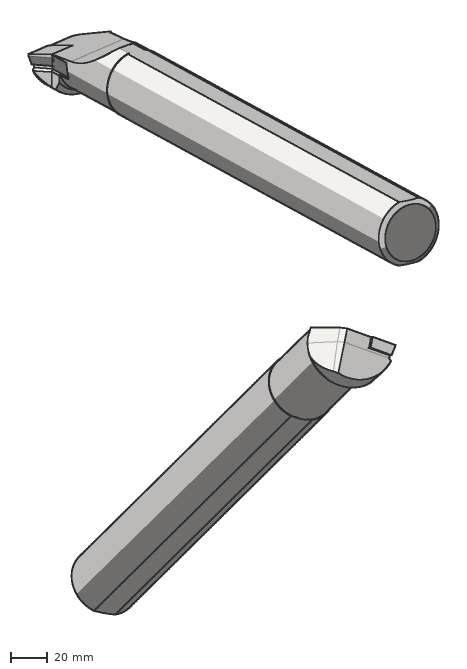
import cadquery as cq
import math

length = 350.0
shank_radius = 20.0
flat_height = 19.0
neck_radius = 19.5
neck_end = 70.0
end_chamfer = 3.0
end_chamfer_depth = 1.8

head_radius = 23.5
head_y = -3.32
head_z = 0.7
head_end = 19.2
head_chamfer = 4.0

head_tilt = 10.4
rake_start = 5.5
rake_slope = 0.08
rake_length = 31.5
scoop_radius = 51.8
scoop_sweep = 50.0
tool_reach = 70.0
lead_in = 3.5

relief_depth = 8.8
relief_angle = 9.0
nose_x = 1.0
corner_x = 3.0
corner_y = 6.5
nose_angle = 180.0
facet_angle = 150.0
corner_angle = 135.0

insert_width = 13.0
insert_tip_y = -26.2
insert_heel_y = -12.2
insert_thickness = 7.0
insert_band = 1.0
insert_slope = 0.6
seat_inset = 1.0
seat_tip_y = -25.5
side_flat_y = -18.5
side_flat_end = 27.5
side_flat_floor = -5.5
side_flat_bevel = 2.5
side_flat_runout = 2.5


def tilted(body):
    """Turn a body from the head's frame into the part's frame."""
    return body.rotate((0, 0, 0), (1, 0, 0), head_tilt)


def prism(points, bottom, top):
    return cq.Workplane("XY").workplane(offset=bottom).polyline(points).close().extrude(top - bottom)


def cylinder(radius, start, end):
    return cq.Workplane("YZ").workplane(offset=start).circle(radius).extrude(end - start)


def make_shank():
    shank = cylinder(shank_radius, neck_end, length)
    shank = shank.faces(">X").chamfer(end_chamfer_depth, end_chamfer)
    flats = cq.Workplane("XY").box(2 * length, tool_reach, 2 * flat_height)
    return shank.intersect(flats)


def make_neck():
    neck = cylinder(neck_radius, 0, neck_end)
    below_flat = cq.Workplane("XY").box(2 * length, tool_reach, tool_reach).translate(
        (0, 0, flat_height - tool_reach / 2))
    return neck.intersect(below_flat)


def make_swelling():
    """Short eccentric disc with an upright slanted front below the insert."""
    swelling = cylinder(head_radius, 0, head_end).faces(">X").chamfer(head_chamfer)
    swelling = swelling.translate((0, head_y, head_z))
    flat_start = (side_flat_y - seat_tip_y) / insert_slope
    front = prism(
        [(-lead_in, seat_tip_y - insert_slope * lead_in), (flat_start, side_flat_y),
         (tool_reach, side_flat_y), (tool_reach, -tool_reach), (-lead_in, -tool_reach)],
        -tool_reach, tool_reach)
    return swelling.cut(front)


def scoop_cutter():
    """Rake face running into a tangent arc that climbs out of the neck."""
    start_angle = math.atan(rake_slope)
    rake_end_z = rake_start + rake_slope * rake_length

    def arc_point(angle):
        return (rake_length + scoop_radius * (math.sin(angle) - math.sin(start_angle)),
                rake_end_z + scoop_radius * (math.cos(start_angle) - math.cos(angle)))

    sweep = math.radians(scoop_sweep)
    end = arc_point(start_angle + sweep)
    cutter = (
        cq.Workplane("XZ")
        .moveTo(-lead_in, rake_start - rake_slope * lead_in)
        .lineTo(rake_length, rake_end_z)
        .threePointArc(arc_point(start_angle + sweep / 2), end)
        .lineTo(end[0], tool_reach)
        .lineTo(-lead_in, tool_reach)
        .close()
        .extrude(tool_reach, both=True)
    )
    return tilted(cutter)


def relief_cutter(x, y, outward_angle, depth=relief_depth):
    """Removes all material outside a face that is straight, then falls inward."""
    band_bottom = rake_start - depth
    undercut = (tool_reach + band_bottom) * math.tan(math.radians(relief_angle))
    cutter = (
        cq.Workplane("XZ")
        .polyline([(0, tool_reach), (0, band_bottom), (-undercut, -tool_reach),
                   (tool_reach, -tool_reach), (tool_reach, tool_reach)])
        .close()
        .extrude(tool_reach, both=True)
        .rotate((0, 0, 0), (0, 0, 1), outward_angle)
        .translate((x, y, 0))
    )
    return tilted(cutter)


def side_cutter():
    """Slanted seat edge followed by a flat along the side, with bevelled end and floor."""
    edge_y = insert_tip_y + seat_inset
    flat_start = (side_flat_y - edge_y) / insert_slope
    runout_end = side_flat_end + side_flat_runout
    cutter = prism(
        [(-lead_in, edge_y - insert_slope * lead_in), (flat_start, side_flat_y), (side_flat_end, side_flat_y),
         (runout_end, side_flat_y - side_flat_runout), (runout_end, -tool_reach), (-lead_in, -tool_reach)],
        side_flat_floor, tool_reach)
    return tilted(cutter.faces("<Z").chamfer(side_flat_bevel))


def make_insert():
    rise = insert_slope * insert_width
    blank = prism(
        [(0, insert_tip_y), (insert_width, insert_tip_y + rise),
         (insert_width, insert_heel_y + rise), (0, insert_heel_y)],
        rake_start - insert_thickness, tool_reach)
    flank = relief_cutter(0, insert_tip_y, math.degrees(math.atan(insert_slope)) - 90, insert_band)
    return tilted(blank).cut(scoop_cutter()).cut(flank)


def make_holder(insert):
    holder = make_neck().union(make_swelling()).union(make_shank())
    holder = holder.cut(side_cutter())
    holder = holder.cut(scoop_cutter())
    holder = holder.cut(relief_cutter(nose_x, 0, nose_angle))
    holder = holder.cut(relief_cutter(corner_x, corner_y, facet_angle))
    holder = holder.cut(relief_cutter(corner_x, corner_y, corner_angle))
    return holder.cut(insert)


insert = make_insert()
holder = make_holder(insert)
result = cq.Compound.makeCompound([holder.solids().val(), insert.solids().val()])